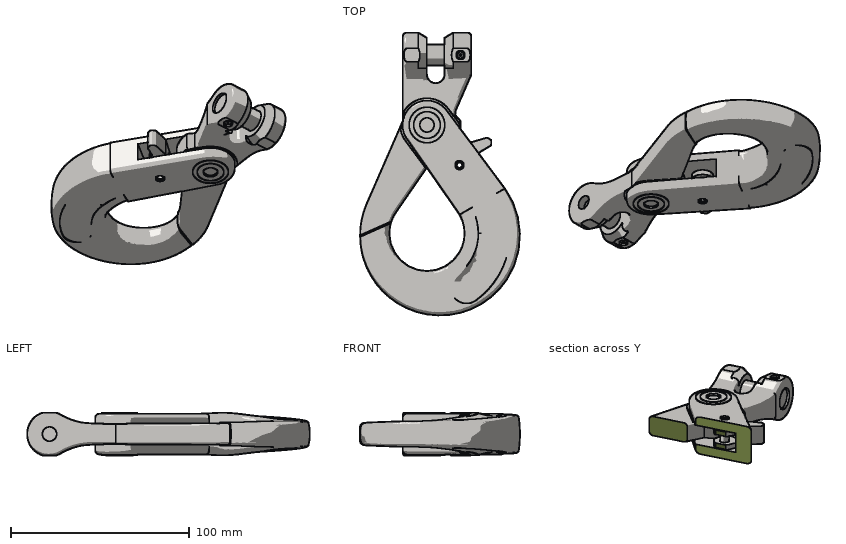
import cadquery as cq
import math


half_height = 12.05
bowl_inner_radius = 21.0
bowl_outer_radius = 44.88
bowl_outer_x, bowl_outer_y = 7.33, -1.15
pivot_y = 60.8
load_pin_x, load_pin_y = 4.9, 100.0

eye_radius = 13.7
cheek_half_height = 11.5
cheek_edge_radius = 2.6
eye_boss_radius = 10.0
eye_boss_half_height = 11.8
slot_half_height = 5.7
slot_width = 48.0
slot_length = 38.5
inner_edge_radius = 4.6
outer_edge_radius = 2.0
outer_crown = 0.6
trough_mid_radius = 37.7
trough_width = 17.8
trough_depth = 1.5
trough_top = 11.7
trough_start, trough_end = 37.0, -54.0
trough_tilt = 5.9
bowl_stations = [
    (30, 11.6, 11.2), (10, 12.0, 10.9), (-10, 11.6, 10.4), (-30, 10.5, 9.6), (-60, 8.7, 8.1),
    (-90, 7.4, 7.0), (-120, 7.2, 6.8), (-150, 6.9, 6.6), (-180, 6.6, 6.3), (-205, 6.4, 6.1),
]

seam_x, seam_y = -20.9, 5.6
seam_angle = 24.0
seam_gap = 0.6

latch_left_x, latch_right_x = -13.6, 24.9
latch_half_height = 6.0
latch_hub_half_height = 5.5
latch_edge_radius = 2.2
hub_relief_radius = 15.0
cam_radius = 19.0
neck_y = 76.0
ear_radius = 12.6
mouth_width = 9.8
mouth_bottom_y = 84.3
mouth_edge_radius = 2.4
ear_bevel_depth = 3.0
ear_bevel_width = 4.8
ear_bevel_low_y = 92.5

rivet_diameter = 12.0
rivet_hook_hole = 12.05
rivet_latch_hole = 12.25
rivet_head_diameter = 15.0
rivet_head_height = 2.0
rivet_recess_diameter = 8.0
rivet_recess_depth = 1.2
load_pin_diameter = 12.0
load_pin_hole = 12.25
load_pin_left_x, load_pin_right_x = -9.0, 23.5
ejector_hole = 8.0
lock_pin_x = 18.8
lock_pin_diameter = 5.0
lock_pin_bore = 1.0
lock_pin_chamfer = 0.7
lock_pin_half_length = 11.2
trigger_x, trigger_y = 18.2, 38.3
trigger_pin_diameter = 5.0
trigger_pin_bore = 3.0
trigger_pin_half_length = 10.5
trigger_bore = 5.4

trigger_hub_diameter = 12.0
trigger_half_height = 5.5
spring_gap_half_height = 2.5
spring_gap_diameter = 14.0
tail_tip_radius = 1.4


def polar(radius, degrees, x=0.0, y=0.0):
    angle = math.radians(degrees)
    return (x + radius * math.cos(angle), y + radius * math.sin(angle))


def prism(half_height_z, x=0.0, y=0.0):
    """Workplane at the bottom of a block that is centred on Z = 0."""
    return cq.Workplane("XY", origin=(x, y, -half_height_z))


def rod(x, y, diameter, half_length):
    return prism(half_length, x, y).circle(diameter / 2).extrude(2 * half_length)


def x_rod(x_from, x_to, diameter):
    plane = cq.Workplane("YZ", origin=(x_from, load_pin_y, 0))
    return plane.circle(diameter / 2).extrude(x_to - x_from)


inner_normal = math.degrees(math.asin((eye_radius + bowl_inner_radius) / pivot_y))
bowl_drop = pivot_y - bowl_outer_y
bowl_lean = math.degrees(math.atan2(bowl_outer_x, bowl_drop))
outer_normal = bowl_lean + math.degrees(
    math.asin((bowl_outer_radius - eye_radius) / math.hypot(bowl_outer_x, bowl_drop))
)
shank_turn = outer_normal


def bowl_outer_distance(degrees):
    """Distance from the opening's centre to the outer circle of the bowl."""
    ux, uy = polar(1, degrees)
    along = bowl_outer_x * ux + bowl_outer_y * uy
    offset = math.hypot(bowl_outer_x, bowl_outer_y)
    return along + math.sqrt(bowl_outer_radius**2 - offset**2 + along**2)


def bowl_section(degrees, inner_z, outer_z):
    """Rounded section of the bowl in the radial plane at the given angle."""
    plane = cq.Plane(origin=(0, 0, 0), xDir=polar(1, degrees) + (0,),
                     normal=polar(1, degrees - 90) + (0,))
    inner = bowl_inner_radius
    inner_top = inner + inner_edge_radius
    inner_side = inner_z - inner_edge_radius
    outer = bowl_outer_distance(degrees)
    edge = outer - outer_crown
    outer_top = edge - outer_edge_radius
    outer_side = outer_z - outer_edge_radius
    bulge = math.sqrt(0.5)
    inner_middle = (inner_top - bulge * inner_edge_radius, inner_side + bulge * inner_edge_radius)
    outer_middle = (outer_top + bulge * outer_edge_radius, outer_side + bulge * outer_edge_radius)
    section = (
        cq.Workplane(plane)
        .moveTo(inner, -inner_side)
        .lineTo(inner, inner_side)
        .threePointArc(inner_middle, (inner_top, inner_z))
        .lineTo(outer_top, outer_z)
        .threePointArc(outer_middle, (edge, outer_side))
        .threePointArc((outer, 0), (edge, -outer_side))
        .threePointArc((outer_middle[0], -outer_middle[1]), (outer_top, -outer_z))
        .lineTo(inner_top, -inner_z)
        .threePointArc((inner_middle[0], -inner_middle[1]), (inner, -inner_side))
        .close()
    )
    return section.val()


def bowl():
    sections = [bowl_section(*station) for station in bowl_stations]
    return cq.Workplane(cq.Solid.makeLoft(sections))


def cheek_block():
    """Eye and shank of the hook, running tangentially into the bowl."""
    root_angle = bowl_stations[0][0]
    height = 2 * cheek_half_height
    block = (
        prism(cheek_half_height)
        .moveTo(*polar(eye_radius, outer_normal, 0, pivot_y))
        .threePointArc(polar(eye_radius, 120, 0, pivot_y),
                       polar(eye_radius, 180 + inner_normal, 0, pivot_y))
        .lineTo(*polar(bowl_inner_radius, inner_normal))
        .lineTo(*polar(bowl_inner_radius, root_angle))
        .lineTo(*polar(bowl_outer_distance(root_angle), root_angle))
        .lineTo(*polar(bowl_outer_radius, outer_normal, bowl_outer_x, bowl_outer_y))
        .close()
        .extrude(height)
    )
    free_end = cq.selectors.BoxSelector(
        (-200, bowl_inner_radius * math.sin(math.radians(root_angle)) + 8, -50), (200, 200, 50))
    return block.faces("|Z").edges(free_end).fillet(cheek_edge_radius)


def beyond_seam(side, gap):
    """Block on one side of the seam (1 above, -1 below), starting at the given distance from it."""
    size = 25.0
    return (
        cq.Workplane("XY", origin=(seam_x, seam_y, 0))
        .transformed(rotate=(0, 0, seam_angle))
        .center(0, side * (gap + size / 2))
        .box(2 * size, size, size)
    )


def trough_part(from_degrees, to_degrees, end_degrees):
    """Shallow toroidal groove with one round end, on the plane Z = 0."""
    half = trough_width / 2
    radius = (half**2 + trough_depth**2) / (2 * trough_depth)
    centre_z = radius - trough_depth
    sweep = to_degrees - from_degrees
    cap_x, cap_y = polar(trough_mid_radius, end_degrees)
    start_x, start_y = polar(1, from_degrees)
    plane = cq.Plane(origin=(0, 0, 0), xDir=(start_x, start_y, 0), normal=(start_y, -start_x, 0))
    groove = (
        cq.Workplane(plane)
        .moveTo(trough_mid_radius - half, 0)
        .threePointArc((trough_mid_radius, -trough_depth), (trough_mid_radius + half, 0))
        .lineTo(trough_mid_radius + half, trough_depth)
        .lineTo(trough_mid_radius - half, trough_depth)
        .close()
        .revolve(sweep, (0, 0, 0), (0, 1, 0))
    )
    cap = (
        cq.Workplane("XZ", origin=(cap_x, cap_y, 0))
        .moveTo(0, -trough_depth)
        .threePointArc((radius * math.sin(math.asin(half / radius) / 2),
                        centre_z - radius * math.cos(math.asin(half / radius) / 2)), (half, 0))
        .lineTo(half, trough_depth)
        .lineTo(0, trough_depth)
        .close()
        .revolve(360, (0, 0, 0), (0, 1, 0))
    )
    return groove.union(cap)


def trough():
    """Finger trough: level on the shank side, then sinking with the bowl past Y = 0."""
    level = trough_part(0, trough_start, trough_start)
    sinking = trough_part(trough_end, 0, trough_end)
    sinking = sinking.rotate((0, 0, 0), (1, 0, 0), trough_tilt)
    return level.union(sinking).translate((0, 0, trough_top))


def cheek_slot():
    """Slot that splits the shank into two cheeks around the latch and trigger."""
    reach = 30.0
    return (
        cq.Workplane("XY")
        .box(slot_width, reach + slot_length, 2 * slot_half_height)
        .translate((0, (reach - slot_length) / 2, 0))
        .rotate((0, 0, 0), (0, 0, 1), shank_turn)
        .translate((0, pivot_y, 0))
    )


def make_hook():
    body = bowl().cut(beyond_seam(1, 0)).union(cheek_block())
    body = body.union(rod(0, pivot_y, 2 * eye_boss_radius, eye_boss_half_height))
    body = body.cut(cheek_slot())
    groove = trough()
    body = body.cut(groove).cut(groove.mirror("XY"))
    body = body.cut(rod(0, pivot_y, rivet_hook_hole, half_height))
    for side in (1, -1):
        seat_z = side * (half_height - rivet_head_height / 2)
        seat = rod(0, pivot_y, rivet_head_diameter, rivet_head_height / 2)
        body = body.cut(seat.translate((0, 0, seat_z)))
    return body.cut(rod(trigger_x, trigger_y, trigger_pin_diameter, half_height))


def latch_outline():
    """Plan of clevis, hub and arm; the arm continues past the seam and is trimmed there."""
    arm_tangent = polar(bowl_outer_radius, 157.5, bowl_outer_x, bowl_outer_y)
    arm_end = polar(bowl_outer_distance(195), 195)
    arm_inner = polar(bowl_inner_radius, 180 - inner_normal)
    top_y = load_pin_y + 2 * ear_radius
    return (
        prism(2 * ear_radius)
        .moveTo(latch_left_x, top_y)
        .lineTo(latch_right_x, top_y)
        .lineTo(latch_right_x, 89.0)
        .lineTo(16.2, 69.0)
        .lineTo(15.9, 66.3)
        .lineTo(18.9, 63.0)
        .lineTo(cam_radius, pivot_y)
        .threePointArc(polar(cam_radius, -40, 0, pivot_y), (3.55, 42.15))
        .lineTo(*arm_inner)
        .threePointArc(polar(bowl_inner_radius, 165), polar(bowl_inner_radius, 195))
        .lineTo(*arm_end)
        .threePointArc(polar(bowl_outer_distance(171), 171), arm_tangent)
        .lineTo(latch_left_x, 63.0)
        .close()
        .extrude(4 * ear_radius)
    )


def latch_side_profile():
    """Side shape: round ears blending by a concave arc into the flat arm."""
    rise = load_pin_y - neck_y
    blend = (rise**2 + latch_half_height**2 - ear_radius**2) / (2 * (ear_radius - latch_half_height))
    share = ear_radius / (blend + ear_radius)
    blend_z = latch_half_height + blend
    join = (load_pin_y - share * rise, share * blend_z)
    turn = math.atan2(rise, blend_z) / 2
    middle = (neck_y + blend * math.sin(turn), blend_z - blend * math.cos(turn))
    end_y = -10.0
    return (
        cq.Workplane("YZ", origin=(-60, 0, 0))
        .moveTo(end_y, latch_half_height)
        .lineTo(neck_y, latch_half_height)
        .threePointArc(middle, join)
        .threePointArc((load_pin_y + ear_radius, 0), (join[0], -join[1]))
        .threePointArc((middle[0], -middle[1]), (neck_y, -latch_half_height))
        .lineTo(end_y, -latch_half_height)
        .close()
        .extrude(120)
    )


def hub_relief():
    """Thins the hub on both sides where it turns between the cheeks."""
    shank_length = 60.0
    depth = half_height - latch_hub_half_height
    cutter = (
        prism(half_height, 0, pivot_y)
        .circle(hub_relief_radius)
        .extrude(depth)
    )
    shank = (
        cq.Workplane("XY")
        .box(2 * hub_relief_radius, shank_length, depth)
        .translate((0, -shank_length / 2, depth / 2 - half_height))
        .rotate((0, 0, 0), (0, 0, 1), shank_turn)
        .translate((0, pivot_y, 0))
    )
    cutter = cutter.union(shank)
    return cutter.union(cutter.mirror("XY"))


def mouth():
    """Round-bottomed opening between the ears of the clevis."""
    half = mouth_width / 2
    centre_y = mouth_bottom_y + half
    top = load_pin_y + 2 * ear_radius
    return (
        prism(2 * half_height)
        .moveTo(load_pin_x - half, top)
        .lineTo(load_pin_x - half, centre_y)
        .threePointArc((load_pin_x, mouth_bottom_y), (load_pin_x + half, centre_y))
        .lineTo(load_pin_x + half, top)
        .close()
        .extrude(4 * half_height)
    )


def ear_bevel(direction):
    """Conical bevel around the inner rim of one ear (direction -1 left, 1 right)."""
    inner_x = load_pin_x + direction * mouth_width / 2
    low = ear_radius - ear_bevel_depth
    ring = (
        cq.Workplane("XY")
        .moveTo(inner_x, load_pin_y + low)
        .lineTo(inner_x + direction * ear_bevel_width, load_pin_y + ear_radius)
        .lineTo(inner_x + direction * ear_bevel_width, load_pin_y + 2 * ear_radius)
        .lineTo(inner_x, load_pin_y + 2 * ear_radius)
        .close()
        .revolve(360, (0, load_pin_y, 0), (1, load_pin_y, 0))
    )
    keep = cq.Workplane("XY").box(100, 100, 100).translate((0, ear_bevel_low_y + 50, 0))
    return ring.intersect(keep)


def make_latch():
    body = latch_outline().intersect(latch_side_profile())
    body = body.edges("not (|Z or |X)").fillet(latch_edge_radius)
    body = body.intersect(prism(half_height).rect(500, 500).extrude(2 * half_height))
    body = body.cut(beyond_seam(-1, -seam_gap))
    body = body.cut(mouth())
    middle = cq.selectors.BoxSelector((-1, 80, -50), (11, 95, 50))
    body = body.edges(middle).edges("not (|Z or |X)").fillet(mouth_edge_radius)
    body = body.cut(ear_bevel(-1)).cut(ear_bevel(1))
    body = body.cut(hub_relief())
    body = body.cut(rod(0, pivot_y, rivet_latch_hole, half_height))
    body = body.cut(x_rod(load_pin_left_x, latch_right_x, load_pin_hole))
    body = body.cut(x_rod(latch_left_x, load_pin_left_x, ejector_hole))
    return body.cut(rod(lock_pin_x, load_pin_y, lock_pin_diameter, half_height))


def make_rivet():
    """Pivot between hook and latch, with a dished head on both ends."""
    shank = rod(0, pivot_y, rivet_diameter, half_height)
    head = rod(0, pivot_y, rivet_head_diameter, rivet_head_height / 2)
    recess = rod(0, pivot_y, rivet_recess_diameter, rivet_recess_depth)
    for side in (1, -1):
        shank = shank.union(head.translate((0, 0, side * (half_height - rivet_head_height / 2))))
        shank = shank.cut(recess.translate((0, 0, side * half_height)))
    return shank


def make_load_pin():
    pin = x_rod(load_pin_left_x, load_pin_right_x, load_pin_diameter)
    return pin.cut(rod(lock_pin_x, load_pin_y, lock_pin_diameter, half_height))


def make_lock_pin():
    """Bored pin through the right ear that keeps the load pin in place."""
    pin = rod(lock_pin_x, load_pin_y, lock_pin_diameter, lock_pin_half_length)
    pin = pin.edges().chamfer(lock_pin_chamfer)
    return pin.cut(rod(lock_pin_x, load_pin_y, lock_pin_bore, lock_pin_half_length))


def make_trigger_pin():
    pin = rod(trigger_x, trigger_y, trigger_pin_diameter, trigger_pin_half_length)
    return pin.cut(rod(trigger_x, trigger_y, trigger_pin_bore, trigger_pin_half_length))


def make_trigger():
    """Release lever on its pin: two hub cheeks around a spring gap and a thumb tail."""
    tail = (
        prism(trigger_half_height)
        .polyline([(13.0, 41.5), (24.3, 51.0), (33.6, 53.8), (36.2, 52.4), (36.0, 49.3),
                   (30.0, 45.8), (23.3, 35.2), (trigger_x, trigger_y)])
        .close()
        .extrude(2 * trigger_half_height)
    )
    tip = cq.selectors.BoxSelector((33, 48, -50), (40, 55, 50))
    tail = tail.edges(tip).edges("|Z").fillet(tail_tip_radius)
    lever = tail.union(rod(trigger_x, trigger_y, trigger_hub_diameter, trigger_half_height))
    lever = lever.cut(rod(trigger_x, trigger_y, spring_gap_diameter, spring_gap_half_height))
    return lever.cut(rod(trigger_x, trigger_y, trigger_bore, trigger_half_height))


hook = make_hook()
latch = make_latch()
rivet = make_rivet()
load_pin = make_load_pin()
lock_pin = make_lock_pin()
trigger = make_trigger()
trigger_pin = make_trigger_pin()

result = cq.Compound.makeCompound([
    hook.val(), latch.val(), rivet.val(), load_pin.val(),
    lock_pin.val(), trigger.val(), trigger_pin.val(),
])